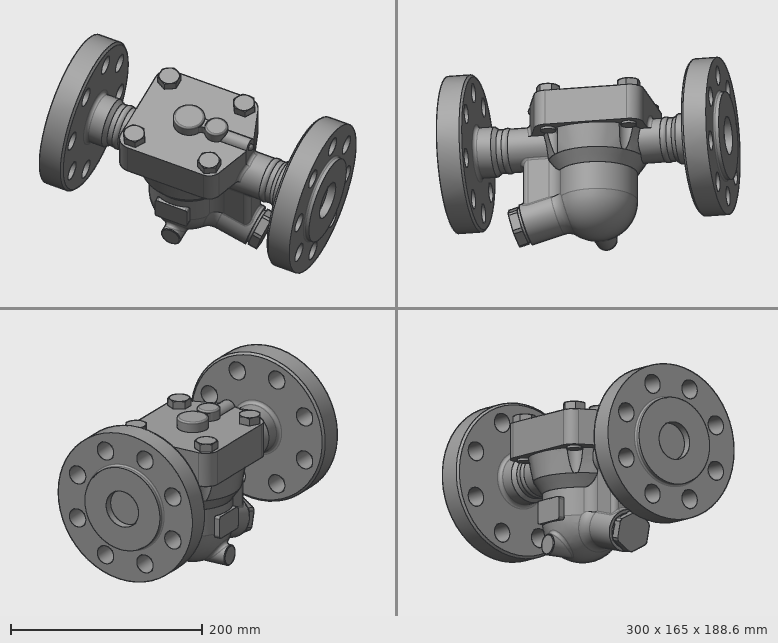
import cadquery as cq
import math


LENGTH = 300.0
BODY_X = -10.0

FLANGE_RADIUS = 82.5
FLANGE_THICKNESS = 26.7
FLANGE_CHAMFER = 2.5
FACE_RADIUS = 92.0 / 2
FACE_HEIGHT = 5.7
FACE_FILLET = 1.8
BORE_DIAMETER = 40.0
BORE_DEPTH = 9.0
BOLT_HOLE_COUNT = 8
BOLT_HOLE_DIAMETER = 20.0
BOLT_CIRCLE_RADIUS = 63.3

NECK_RADIUS = 26.5
NECK_FILLET = 4.0
NECK_TAPER_START = 98.7
NECK_TAPER_END = 94.0
PIPE_RADIUS = 46.0 / 2
WELD_OUTER = 88.2
WELD_INNER = 81.5
WELD_HEIGHT = 1.05

PLATE_LEFT_X = -68.5
PLATE_HALF_WIDTH = 57.5
PLATE_SHOULDER_X = 43.8
PLATE_NOSE_X = 60.3
PLATE_NOSE_HALF_WIDTH = 9.5
PLATE_BOTTOM = 7.2
PLATE_SPLIT = 27.5
PLATE_TOP = 44.7
PLATE_CORNER = 14.5
PIPE_COLLAR_FILLET = 4.0

HEXAGON_SIDES = 6
BOLT_OFFSET = 43.2
HEAD_ACROSS_FLATS = 21.3
HEAD_HEIGHT = 8.7
HEAD_CHAMFER_HEIGHT = 1.0
BOLT_TIP_DIAMETER = 16.0
BOLT_TIP_LENGTH = 2.7
BOLT_CLEARANCE_DIAMETER = 20.0

BIG_BOSS_RADIUS = 16.5
SMALL_BOSS_RADIUS = 12.0
SMALL_BOSS_OFFSET = 31.5
BOSS_HEIGHT = 11.5
BOSS_FILLET = 1.8
WEB_HEIGHT = 9.0
WEB_FILLET = 4.5
RIDGE_RADIUS = 9.0
RIDGE_AXIS_DROP = 3.0
RIDGE_PIP_RADIUS = 4.0

SHOULDER_TOP_SIDE_RADIUS = 53.7
SHOULDER_TOP_CORNER_RADIUS = 57.0
SHOULDER_RADIUS = 51.3
SHOULDER_BOTTOM = -19.0
BOWL_RADIUS = 42.0
BOWL_TOP = -32.5
BOWL_CENTER_Z = -62.0

PAD_WIDTH = 37.0
PAD_TOP = -41.7
PAD_BOTTOM = -66.3
PAD_FRONT_Y = -44.5
PAD_CORNER = 2.7

DRAIN_RADIUS = 22.0 / 2
DRAIN_Z = -90.5
DRAIN_FRONT_Y = -46.0
DRAIN_CHAMFER = 1.0
DRAIN_FILLET = 3.5

STRAINER_ANGLE = 15.0
STRAINER_RADIUS = 44.0 / 2
STRAINER_LENGTH = 79.2
STRAINER_FILLET = 16.0
CAP_SEAT_RADIUS = 18.5
CAP_SEAT_LENGTH = 3.0
CAP_END = 92.0
CAP_ACROSS_FLATS = 38.0
CAP_DIAMETER = 42.0

DUCT_HALF_WIDTH = 16.8
DUCT_END_X = 67.0
DUCT_CORNER = 6.0
DUCT_BODY_FILLET = 16.5
DUCT_BOTTOM = -72.0
DUCT_PIPE_FILLET = 3.5
DUCT_BRANCH_FILLET = 2.5

MARGIN = 0.3


def cylinder_z(x, y, bottom, top, radius):
    return cq.Workplane("XY", origin=(x, y, bottom)).circle(radius).extrude(top - bottom)


def across_corners(across_flats):
    return across_flats / math.cos(math.pi / HEXAGON_SIDES)


def pipe_end():
    """Flange, weld neck and pipe of the -X end, turned about the X axis."""
    end_x = -LENGTH / 2
    flange_x = end_x + FACE_HEIGHT
    back_x = flange_x + FLANGE_THICKNESS
    turned = (
        cq.Workplane("XY")
        .moveTo(end_x, 0)
        .lineTo(end_x, FACE_RADIUS)
        .lineTo(flange_x - FACE_FILLET, FACE_RADIUS)
        .radiusArc((flange_x, FACE_RADIUS + FACE_FILLET), -FACE_FILLET)
        .lineTo(flange_x, FLANGE_RADIUS)
        .lineTo(back_x - FLANGE_CHAMFER, FLANGE_RADIUS)
        .lineTo(back_x, FLANGE_RADIUS - FLANGE_CHAMFER)
        .lineTo(back_x, NECK_RADIUS + NECK_FILLET)
        .radiusArc((back_x + NECK_FILLET, NECK_RADIUS), -NECK_FILLET)
        .lineTo(-NECK_TAPER_START, NECK_RADIUS)
        .lineTo(-NECK_TAPER_END, PIPE_RADIUS)
        .lineTo(-WELD_OUTER, PIPE_RADIUS)
        .threePointArc(
            (-(WELD_OUTER + WELD_INNER) / 2, PIPE_RADIUS + WELD_HEIGHT),
            (-WELD_INNER, PIPE_RADIUS),
        )
        .lineTo(0, PIPE_RADIUS)
        .lineTo(0, 0)
        .close()
        .revolve(360, (0, 0, 0), (1, 0, 0))
    )
    face = cq.Workplane("YZ", origin=(end_x, 0, 0))
    bore = face.circle(BORE_DIAMETER / 2).extrude(BORE_DEPTH)
    bolt_holes = (
        face.polarArray(BOLT_CIRCLE_RADIUS, 180 / BOLT_HOLE_COUNT, 360, BOLT_HOLE_COUNT)
        .circle(BOLT_HOLE_DIAMETER / 2)
        .extrude(FACE_HEIGHT + FLANGE_THICKNESS)
    )
    return turned.cut(bore).cut(bolt_holes)


def plate(bottom, top):
    """Plate with four rounded corners and a blunt nose towards +X."""
    outline = [
        (PLATE_LEFT_X, -PLATE_HALF_WIDTH),
        (PLATE_SHOULDER_X, -PLATE_HALF_WIDTH),
        (PLATE_NOSE_X, -PLATE_NOSE_HALF_WIDTH),
        (PLATE_NOSE_X, PLATE_NOSE_HALF_WIDTH),
        (PLATE_SHOULDER_X, PLATE_HALF_WIDTH),
        (PLATE_LEFT_X, PLATE_HALF_WIDTH),
    ]
    return (
        cq.Workplane("XY", origin=(0, 0, bottom))
        .polyline(outline)
        .close()
        .extrude(top - bottom)
        .edges("|Z")
        .edges("<Y or >Y")
        .fillet(PLATE_CORNER)
    )


def body_plate():
    """Body half of the plate with a fillet where the pipe runs into it, above the plate's underside."""
    pipe = (
        cq.Workplane("YZ", origin=(-WELD_INNER, 0, 0))
        .circle(PIPE_RADIUS)
        .extrude(2 * WELD_INNER)
    )
    reach = PIPE_RADIUS + MARGIN
    joints = cq.selectors.BoxSelector(
        (PLATE_LEFT_X - MARGIN, -reach, -reach),
        (PLATE_NOSE_X + MARGIN, reach, reach),
    )
    filleted = (
        plate(-PLATE_SPLIT, PLATE_SPLIT)
        .union(pipe)
        .edges(joints)
        .edges("%CIRCLE or %ELLIPSE")
        .fillet(PIPE_COLLAR_FILLET)
    )
    above = cq.Workplane("XY", origin=(0, 0, PLATE_BOTTOM)).rect(LENGTH, LENGTH).extrude(PLATE_SPLIT)
    return filleted.intersect(above)


def bolt_positions():
    """Bolt centres in order around the body axis."""
    corners = [(-1, 1), (1, 1), (1, -1), (-1, -1)]
    return [(BODY_X + BOLT_OFFSET * x, BOLT_OFFSET * y) for x, y in corners]


def bolts():
    """Hexagon heads on the cover, each a quarter turn from the last, and tips below the plate."""
    corner_diameter = across_corners(HEAD_ACROSS_FLATS)
    parts = cq.Workplane("XY")
    for index, (x, y) in enumerate(bolt_positions()):
        hexagon = (
            cq.Workplane("XY", origin=(x, y, PLATE_TOP))
            .transformed(rotate=(0, 0, 90 * (index + 1)))
            .polygon(HEXAGON_SIDES, corner_diameter)
            .extrude(HEAD_HEIGHT)
        )
        crown = (
            cylinder_z(x, y, PLATE_TOP, PLATE_TOP + HEAD_HEIGHT, corner_diameter / 2)
            .faces(">Z")
            .chamfer(HEAD_CHAMFER_HEIGHT, (corner_diameter - HEAD_ACROSS_FLATS) / 2)
        )
        tip = cylinder_z(x, y, PLATE_BOTTOM - BOLT_TIP_LENGTH, PLATE_BOTTOM, BOLT_TIP_DIAMETER / 2)
        parts = parts.add(hexagon.intersect(crown)).add(tip)
    return parts


def cover_bosses():
    """Two round bosses joined by a filleted web, and a rounded ridge running to the nose."""
    small_x = BODY_X + SMALL_BOSS_OFFSET
    boss_top = PLATE_TOP + BOSS_HEIGHT
    big = cylinder_z(BODY_X, 0, PLATE_TOP, boss_top, BIG_BOSS_RADIUS)
    small = cylinder_z(small_x, 0, PLATE_TOP, boss_top, SMALL_BOSS_RADIUS)
    bosses = big.union(small).faces(">Z").edges().fillet(BOSS_FILLET)

    big_reach = BIG_BOSS_RADIUS + WEB_FILLET
    small_reach = SMALL_BOSS_RADIUS + WEB_FILLET
    arc_dx = (SMALL_BOSS_OFFSET**2 + big_reach**2 - small_reach**2) / (2 * SMALL_BOSS_OFFSET)
    arc_y = math.sqrt(big_reach**2 - arc_dx**2)
    arc_x = BODY_X + arc_dx
    base = cq.Workplane("XY", origin=(0, 0, PLATE_TOP))
    hollows = base.pushPoints([(arc_x, arc_y), (arc_x, -arc_y)]).circle(WEB_FILLET).extrude(WEB_HEIGHT)
    web = (
        base.polyline([(BODY_X, 0), (arc_x, arc_y), (small_x, 0), (arc_x, -arc_y)])
        .close()
        .extrude(WEB_HEIGHT)
        .cut(hollows)
    )

    ridge_z = PLATE_TOP - RIDGE_AXIS_DROP
    ridge = (
        cq.Workplane("YZ", origin=(small_x, 0, ridge_z))
        .circle(RIDGE_RADIUS)
        .extrude(PLATE_NOSE_X - small_x)
    )
    pip = cq.Workplane("XY").sphere(RIDGE_PIP_RADIUS).translate((PLATE_NOSE_X, 0, ridge_z))
    return bosses.union(web).union(ridge).union(pip)


def shoulder():
    """Upper body: square with large round corners under the plate, round where it meets the bowl."""
    rim = []
    rim_points = 8
    for step in range(rim_points):
        radius = SHOULDER_TOP_CORNER_RADIUS if step % 2 else SHOULDER_TOP_SIDE_RADIUS
        angle = 2 * math.pi * step / rim_points
        rim.append((radius * math.cos(angle), radius * math.sin(angle)))
    upper = (
        cq.Workplane("XY", origin=(BODY_X, 0, SHOULDER_BOTTOM))
        .circle(SHOULDER_RADIUS)
        .workplane(offset=PLATE_BOTTOM - SHOULDER_BOTTOM)
        .spline(rim, periodic=True)
        .close()
        .loft()
    )
    for x, y in bolt_positions():
        upper = upper.cut(cylinder_z(x, y, SHOULDER_BOTTOM, PLATE_BOTTOM, BOLT_CLEARANCE_DIAMETER / 2))
    return upper


def bowl():
    """Round-bottomed bowl with a conical neck and a filleted drain boss towards -Y."""
    turned = (
        cq.Workplane("XZ")
        .moveTo(0, SHOULDER_BOTTOM)
        .lineTo(SHOULDER_RADIUS, SHOULDER_BOTTOM)
        .lineTo(BOWL_RADIUS, BOWL_TOP)
        .lineTo(BOWL_RADIUS, BOWL_CENTER_Z)
        .radiusArc((0, BOWL_CENTER_Z - BOWL_RADIUS), BOWL_RADIUS)
        .close()
        .revolve(360, (0, 0, 0), (0, 1, 0))
        .translate((BODY_X, 0, 0))
    )
    drain = (
        cq.Workplane("XZ", origin=(BODY_X, DRAIN_FRONT_Y, DRAIN_Z))
        .circle(DRAIN_RADIUS)
        .extrude(DRAIN_FRONT_Y)
        .faces("<Y")
        .chamfer(DRAIN_CHAMFER)
    )
    reach = DRAIN_RADIUS + MARGIN
    root_box = cq.selectors.BoxSelector(
        (BODY_X - reach, DRAIN_FRONT_Y + DRAIN_CHAMFER + MARGIN, DRAIN_Z - reach),
        (BODY_X + reach, -MARGIN, DRAIN_Z + reach),
    )
    return turned.union(drain).edges(root_box).edges("not %LINE").fillet(DRAIN_FILLET)


def name_pad():
    """Raised flat pad on the -Y side of the bowl."""
    return (
        cq.Workplane("XZ", origin=(BODY_X, 0, (PAD_TOP + PAD_BOTTOM) / 2))
        .rect(PAD_WIDTH, PAD_TOP - PAD_BOTTOM)
        .extrude(-PAD_FRONT_Y)
        .edges("|Y")
        .fillet(PAD_CORNER)
    )


def along_strainer(part):
    """Move a part built along +X onto the sloping strainer axis."""
    return part.rotate((0, 0, 0), (0, 1, 0), STRAINER_ANGLE).translate((BODY_X, 0, BOWL_CENTER_Z))


def strainer():
    """Branch and hexagon cap, sloping down towards +X from the centre of the bowl."""
    fillet_x = math.sqrt((BOWL_RADIUS + STRAINER_FILLET) ** 2 - (STRAINER_RADIUS + STRAINER_FILLET) ** 2)
    sphere_share = BOWL_RADIUS / (BOWL_RADIUS + STRAINER_FILLET)
    sphere_point = (fillet_x * sphere_share, (STRAINER_RADIUS + STRAINER_FILLET) * sphere_share)
    seat_end = STRAINER_LENGTH + CAP_SEAT_LENGTH
    branch = (
        cq.Workplane("XY")
        .lineTo(0, sphere_point[1])
        .lineTo(*sphere_point)
        .radiusArc((fillet_x, STRAINER_RADIUS), -STRAINER_FILLET)
        .lineTo(STRAINER_LENGTH, STRAINER_RADIUS)
        .lineTo(STRAINER_LENGTH, CAP_SEAT_RADIUS)
        .lineTo(seat_end, CAP_SEAT_RADIUS)
        .lineTo(seat_end, 0)
        .close()
        .revolve(360, (0, 0, 0), (1, 0, 0))
    )
    cap_base = cq.Workplane("YZ", origin=(seat_end, 0, 0))
    cap_length = CAP_END - seat_end
    hexagon = (
        cap_base.transformed(rotate=(0, 0, 90))
        .polygon(HEXAGON_SIDES, across_corners(CAP_ACROSS_FLATS))
        .extrude(cap_length)
    )
    cap = hexagon.intersect(cap_base.circle(CAP_DIAMETER / 2).extrude(cap_length))
    return along_strainer(branch.union(cap))


def duct():
    """Upright rib joining the strainer branch to the outlet pipe, faired into the bowl."""
    fillet_y = DUCT_HALF_WIDTH + DUCT_BODY_FILLET
    fillet_dx = math.sqrt((BOWL_RADIUS + DUCT_BODY_FILLET) ** 2 - fillet_y**2)
    bowl_share = BOWL_RADIUS / (BOWL_RADIUS + DUCT_BODY_FILLET)
    bowl_x = BODY_X + fillet_dx * bowl_share
    bowl_y = fillet_y * bowl_share
    fairing = (
        cq.Workplane("XY", origin=(0, 0, DUCT_BOTTOM))
        .moveTo(BODY_X, -bowl_y)
        .lineTo(bowl_x, -bowl_y)
        .radiusArc((BODY_X + fillet_dx, -DUCT_HALF_WIDTH), DUCT_BODY_FILLET)
        .lineTo(BODY_X + fillet_dx, DUCT_HALF_WIDTH)
        .radiusArc((bowl_x, bowl_y), DUCT_BODY_FILLET)
        .lineTo(BODY_X, bowl_y)
        .close()
        .extrude(-DUCT_BOTTOM)
    )
    slab_length = DUCT_END_X - BODY_X
    slab = (
        cq.Workplane("XY", origin=(BODY_X + slab_length / 2, 0, DUCT_BOTTOM))
        .rect(slab_length, 2 * DUCT_HALF_WIDTH)
        .extrude(-DUCT_BOTTOM)
        .edges("|Z and >X")
        .fillet(DUCT_CORNER)
    )
    pipe = cq.Workplane("YZ", origin=(BODY_X, 0, 0)).circle(PIPE_RADIUS).extrude(WELD_INNER - BODY_X)
    branch = along_strainer(
        cq.Workplane("YZ").circle(STRAINER_RADIUS).extrude(STRAINER_LENGTH)
    )

    reach = DUCT_HALF_WIDTH + MARGIN
    mid_z = (BOWL_TOP + BOWL_CENTER_Z) / 2
    front_x = DUCT_END_X + MARGIN
    pipe_joint = cq.selectors.BoxSelector((BODY_X, -reach, mid_z), (front_x, reach, -MARGIN))
    branch_joint = cq.selectors.BoxSelector(
        (BODY_X + DUCT_CORNER, -reach, DUCT_BOTTOM + MARGIN),
        (front_x, reach, mid_z),
    )
    joined = slab.union(pipe).union(branch)
    joined = joined.edges(pipe_joint).edges("not |Z").fillet(DUCT_PIPE_FILLET)
    joined = joined.edges(branch_joint).edges("not |Z").fillet(DUCT_BRANCH_FILLET)
    return joined.union(fairing)


inlet = pipe_end()
outlet = inlet.mirror("YZ")
result = inlet.union(outlet)
for part in (
    body_plate(),
    plate(PLATE_SPLIT, PLATE_TOP),
    bolts(),
    cover_bosses(),
    shoulder(),
    bowl(),
    name_pad(),
    duct(),
    strainer(),
):
    result = result.union(part)